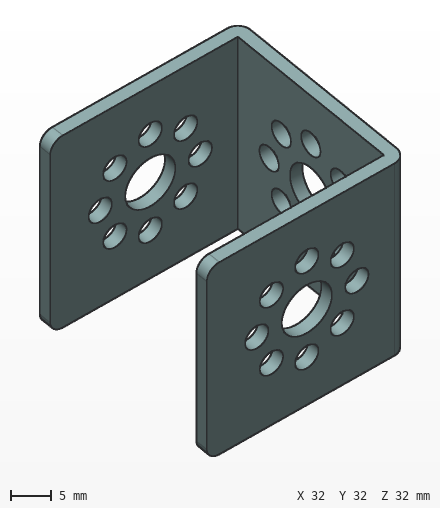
import cadquery as cq

size = 32.0
wall = 2.0
corner_radius = wall

center_hole_diameter = 8.0
small_hole_diameter = 3.7
hole_circle_radius = 8.0
small_hole_count = 8


def make_channel():
    """Back wall with two flanges, rounded outside and sharp inside."""
    block = cq.Workplane("XY").box(size, size, size)
    block = block.edges("|Z and >Y").fillet(corner_radius)
    block = block.edges("|X and <Y").fillet(corner_radius)
    opening = cq.Workplane("XY").box(size - 2 * wall, size, size)
    return block.cut(opening.translate((0, -wall, 0)))


def hole_pattern(plane, start, depth):
    """Cutters for one center hole ringed by evenly spaced small holes."""
    base = cq.Workplane(plane).workplane(offset=start)
    center_hole = base.circle(center_hole_diameter / 2).extrude(depth)
    small_holes = (
        base.polarArray(hole_circle_radius, 0, 360, small_hole_count)
        .circle(small_hole_diameter / 2)
        .extrude(depth)
    )
    return center_hole.union(small_holes)


flange_holes = hole_pattern("YZ", -size / 2, size)

back_holes = hole_pattern("XZ", -size / 2, size)

result = make_channel().cut(flange_holes).cut(back_holes)